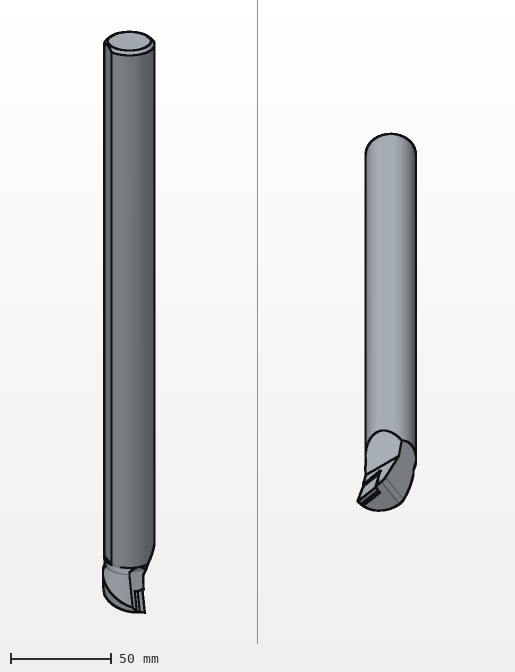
import cadquery as cq
import math

total_length = 306.0
bar_radius = 12.5
flat_distance = 11.3
bar_end_z = 22.3
top_chamfer = 1.8

flare_start_z = 19.3
flare_center_x = 1.2
flare_slope = 0.3
head_radius = 15.3
head_center_x = 3.7
head_center_y = 1.0

tip_x = 19.3
edge_angle = 17.5
bisector_angle = 45.0
head_inset = 0.3
bevel_top_z = 25.5
bevel_angle = 38.0
heel_radius = 5.2

clearance_top_z = 32.0
rake_top_y = 2.5
rake_top_z = 17.8
rake_bottom_y = 1.2

insert_edge = 11.5
insert_thickness = 4.0
insert_relief = 7.0
nose_radius = 0.15

edge_tangent = math.tan(math.radians(edge_angle))
bevel_tangent = math.tan(math.radians(bevel_angle))
side_reach = 2 * head_radius


def make_bar():
    """Round bar with a conical top chamfer and a clamping flat along its whole length."""
    bar_length = total_length - bar_end_z
    bar = (
        cq.Workplane("XY", origin=(0, 0, bar_end_z))
        .circle(bar_radius)
        .extrude(bar_length)
        .faces(">Z")
        .chamfer(top_chamfer)
    )
    flat_cut = (
        cq.Workplane("XY", origin=(0, -flat_distance - bar_radius, bar_end_z))
        .rect(2 * bar_radius, 2 * bar_radius)
        .extrude(bar_length)
    )
    return bar.cut(flat_cut)


def make_neck():
    """Slanted round piece that carries the bar section over to the flare."""
    return (
        cq.Workplane("XY", origin=(flare_center_x, 0, flare_start_z))
        .circle(bar_radius)
        .workplane(offset=bar_end_z - flare_start_z)
        .center(-flare_center_x, 0)
        .circle(bar_radius)
        .loft(ruled=True)
    )


def make_flare():
    """Cone that widens downwards, limited by an offset vertical cylinder."""
    cone_base_radius = bar_radius + flare_slope * flare_start_z
    cone = (
        cq.Workplane("XZ", origin=(flare_center_x, 0, 0))
        .polyline([(0, 0), (cone_base_radius, 0), (bar_radius, flare_start_z), (0, flare_start_z)])
        .close()
        .revolve(360, (0, 0), (0, 1))
    )
    limit = (
        cq.Workplane("XY", origin=(head_center_x, head_center_y, 0))
        .circle(head_radius)
        .extrude(flare_start_z)
    )
    return cone.intersect(limit)


def make_profile():
    """Prism along Y that shapes the bevel, heel and both edges of the head."""
    half_corner = math.radians(bisector_angle - edge_angle)
    corner_shift = head_inset / math.sin(half_corner) * math.cos(math.radians(bisector_angle))
    corner_x = tip_x - corner_shift
    corner_z = corner_shift

    bevel_top_x = -bar_radius
    heel_x = (bevel_top_z + bevel_top_x / bevel_tangent - corner_z - corner_x * edge_tangent) / (
        1 / bevel_tangent - edge_tangent
    )
    heel_z = corner_z + (corner_x - heel_x) * edge_tangent

    shoulder_z = corner_z + (corner_x - bar_radius) / edge_tangent
    return (
        cq.Workplane("XZ")
        .polyline([
            (corner_x, corner_z),
            (bar_radius, shoulder_z),
            (bar_radius, total_length),
            (bevel_top_x, total_length),
            (bevel_top_x, bevel_top_z),
            (heel_x, heel_z),
        ])
        .close()
        .extrude(side_reach, both=True)
        .edges(cq.selectors.NearestToPointSelector((heel_x, 0, heel_z)))
        .fillet(heel_radius)
    )


def make_clearance():
    """Space in front of the rake face, open towards +Y."""
    return (
        cq.Workplane("YZ")
        .polyline([
            (rake_bottom_y, 0),
            (rake_top_y, rake_top_z),
            (bar_radius, clearance_top_z),
            (side_reach, clearance_top_z),
            (side_reach, 0),
        ])
        .close()
        .extrude(side_reach, both=True)
    )


def rhombus():
    """Insert outline on the rake plane, with its sharp nose at the tip."""
    along = insert_edge * math.cos(math.radians(edge_angle))
    across = insert_edge * math.sin(math.radians(edge_angle))
    return (
        cq.Workplane("XZ", origin=(tip_x, rake_bottom_y, 0))
        .polyline([(0, 0), (-across, along), (-across - along, along + across), (-along, across)])
        .close()
    )


def make_insert():
    """Rhombic plate that tapers away from its cutting edges."""
    plate = rhombus().extrude(insert_thickness, taper=insert_relief)
    nose_point = (tip_x, rake_bottom_y - insert_thickness / 2, 0)
    return plate.edges(cq.selectors.NearestToPointSelector(nose_point)).fillet(nose_radius)


def make_holder(insert):
    """Bar and head in one piece, with a seat for the insert."""
    blank = make_bar().union(make_neck()).union(make_flare())
    shaped = blank.intersect(make_profile()).cut(make_clearance())
    seat_opening = rhombus().extrude(-side_reach)
    return shaped.cut(insert).cut(seat_opening)


insert = make_insert()
holder = make_holder(insert)

result = cq.Compound.makeCompound([holder.val(), insert.val()])